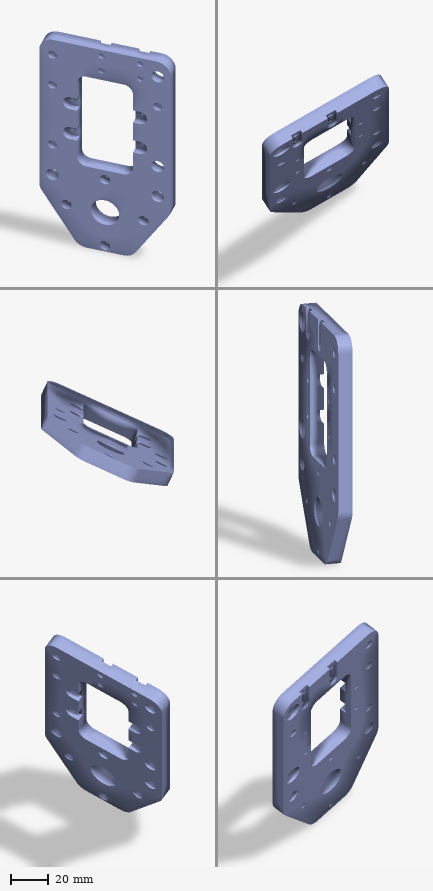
import cadquery as cq

height = 134.2
width = 75.0
thickness = 8.0
corner_radius = 8.0
taper_start_depth = 100.0
bottom_half_width = 15.0

window_width = 32.0
window_top_depth = 20.0
window_bottom_depth = 80.0
window_corner_radius = 5.4

pocket_width = 8.0
pocket_depth = 4.0
pocket_hole_diameter = 2.5
pocket_hole_x = 20.0
pocket_levels = (40.0, 60.0)

side_hole_x = 30.0
small_side_diameter = 5.1
large_side_diameter = 7.2
rear_recess_diameter = 10.7
rear_recess_depth = 4.0
side_levels = (10.0, 30.0, 70.0, 90.0)

top_hole_levels = (4.0, 14.0)
left_top_hole_x = -2.0
right_top_hole_x = pocket_hole_x
top_hole_diameter = 3.5
channel_width = 6.0
channel_depth = 2.0

bore_diameter = 16.2
bore_level = 108.2
screw_circle_radius = 22.0
screw_hole_diameter = 3.2
screw_head_diameter = 6.0
screw_head_depth = 4.0

half_width = width / 2
top = height / 2


def front_plane(y=0.0):
    """XZ sketch plane at depth y, with positive extrusion toward the rear."""
    return cq.Workplane(cq.Plane(origin=(0, y, top), xDir=(1, 0, 0), normal=(0, -1, 0)))


def cylinder(points, diameter, y=0.0, depth=thickness):
    """Cylinders running rearward from depth y; points are (x, level) pairs."""
    centers = [(x, -level) for x, level in points]
    return front_plane(y).pushPoints(centers).circle(diameter / 2).extrude(-depth)


def plate():
    outline = [
        (-half_width, 0),
        (half_width, 0),
        (half_width, -taper_start_depth),
        (bottom_half_width, -height),
        (-bottom_half_width, -height),
        (-half_width, -taper_start_depth),
    ]
    body = front_plane().polyline(outline).close().extrude(-thickness)
    return body.edges("|Y").fillet(corner_radius)


def window():
    window_height = window_bottom_depth - window_top_depth
    middle = (window_top_depth + window_bottom_depth) / 2
    opening = front_plane().center(0, -middle).rect(window_width, window_height).extrude(-thickness)
    return opening.edges("|Y").fillet(window_corner_radius)


def pocket_pair(level):
    """Two opposite pockets, cut as one slot spanning the window."""
    slot_length = 2 * pocket_hole_x + pocket_width
    return front_plane().center(0, -level).slot2D(slot_length, pocket_width).extrude(-pocket_depth)


def rear_channel(x):
    """Channel from the top edge with its round end centred on the lower hole."""
    end_level = max(top_hole_levels)
    start = front_plane(thickness - channel_depth).center(x, 0)
    straight = start.center(0, -end_level / 2).rect(channel_width, end_level).extrude(-channel_depth)
    round_end = cylinder([(x, end_level)], channel_width, thickness - channel_depth, channel_depth)
    return straight.union(round_end)


result = plate().cut(window())

for level in pocket_levels:
    result = result.cut(pocket_pair(level))
pocket_holes = [(x, level) for x in (-pocket_hole_x, pocket_hole_x) for level in pocket_levels]
result = result.cut(cylinder(pocket_holes, pocket_hole_diameter))

first, second, third, fourth = side_levels
small_side_holes = [(-side_hole_x, level) for level in (first, second, third)]
small_side_holes.append((side_hole_x, second))
large_side_holes = [(side_hole_x, level) for level in (first, third, fourth)]
large_side_holes.append((-side_hole_x, fourth))
result = result.cut(cylinder(small_side_holes, small_side_diameter))
result = result.cut(cylinder(large_side_holes, large_side_diameter))

rear_recesses = [(side_hole_x, level) for level in (first, third)]
rear_recess_start = thickness - rear_recess_depth
result = result.cut(cylinder(rear_recesses, rear_recess_diameter, rear_recess_start, rear_recess_depth))

top_holes = [(x, level) for x in (left_top_hole_x, right_top_hole_x) for level in top_hole_levels]
result = result.cut(cylinder(top_holes, top_hole_diameter))
for x in (left_top_hole_x, right_top_hole_x):
    result = result.cut(rear_channel(x))

result = result.cut(cylinder([(0, bore_level)], bore_diameter))
screw_holes = [
    (screw_circle_radius, bore_level),
    (-screw_circle_radius, bore_level),
    (0, bore_level + screw_circle_radius),
    (0, bore_level - screw_circle_radius),
]
result = result.cut(cylinder(screw_holes, screw_hole_diameter))
result = result.cut(cylinder(screw_holes, screw_head_diameter, depth=screw_head_depth))